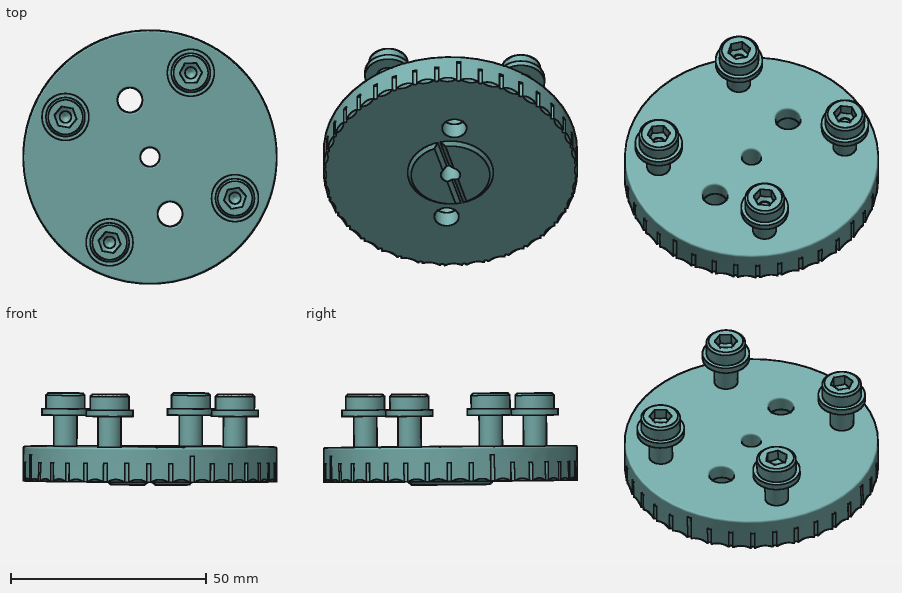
import cadquery as cq
import math

TURN_ANGLE = 19.4
TILT_ANGLE = 0.55

DISC_RADIUS = 32.5
DISC_HEIGHT = 8.85
DISC_EDGE_FILLET = 0.5

GROOVE_COUNT = 36
LONG_GROOVE_STEP = 9
GROOVE_RADIUS = 0.5
GROOVE_TOP = -4.0
LONG_GROOVE_TOP = -2.1

SCALLOP_RADIUS = 5.5
SCALLOP_HEIGHT = 0.7
SCALLOP_SLOPE = 45.0
SCALLOP_LENGTH = 7.8

BOSS_HEIGHT = 0.9
BOSS_BOTTOM_RADIUS = 10.05
SLOT_BOTTOM_WIDTH = 2.9
SLOT_TOP_WIDTH = 0.65

THROUGH_DEPTH = DISC_HEIGHT + BOSS_HEIGHT
CENTER_HOLE_DIAMETER = 4.95
SIDE_HOLE_DIAMETER = 6.4
SIDE_HOLE_LOWER_DIAMETER = 6.3
SIDE_HOLE_STEP_DEPTH = 3.9
SIDE_HOLE_OFFSET = 15.45
HOLE_FILLET = 0.5

SCREW_SPACING = 34.05
SHANK_DIAMETER = 6.0
SHANK_HEIGHT = 7.9
WASHER_DIAMETER = 12.0
WASHER_HEIGHT = 1.6
HEAD_DIAMETER = 10.0
HEAD_HEIGHT = 4.0
HEAD_CHAMFER = 0.6
SOCKET_SIDES = 6
SOCKET_FLATS = 5.0
SOCKET_DEPTH = 2.7
PILOT_DIAMETER = 3.0
PILOT_DEPTH = 1.2
DRILL_HALF_ANGLE = 60.0
SCREWS = [
    (-1, 1, -10.0),
    (1, 1, 2.0),
    (-1, -1, -10.0),
    (1, -1, 11.0),
]


def disc():
    body = cq.Workplane("XY").circle(DISC_RADIUS).extrude(-DISC_HEIGHT)
    return body.faces(">Z").edges().fillet(DISC_EDGE_FILLET)


def rim_grooves():
    grooves = cq.Workplane("XY")
    pitch = 360 / GROOVE_COUNT
    for i in range(GROOVE_COUNT):
        top = GROOVE_TOP if i % LONG_GROOVE_STEP else LONG_GROOVE_TOP
        groove = (
            cq.Workplane("XY", origin=(DISC_RADIUS, 0, -DISC_HEIGHT))
            .circle(GROOVE_RADIUS)
            .extrude(DISC_HEIGHT + top)
            .rotate((0, 0, 0), (0, 0, 1), i * pitch)
        )
        grooves = grooves.add(groove)
    return grooves


def rim_scallops():
    """Round cutters that slope up and out across the lower rim edge."""
    scallops = cq.Workplane("XY")
    pitch = 360 / GROOVE_COUNT
    slope = math.radians(SCALLOP_SLOPE)
    axis = cq.Vector(math.cos(slope), 0, math.sin(slope))
    crest = cq.Vector(DISC_RADIUS, 0, SCALLOP_HEIGHT - DISC_HEIGHT)
    middle = crest + cq.Vector(math.sin(slope), 0, -math.cos(slope)) * SCALLOP_RADIUS
    cutter = cq.Workplane(
        cq.Solid.makeCylinder(
            SCALLOP_RADIUS, SCALLOP_LENGTH, middle - axis * (SCALLOP_LENGTH / 2), axis
        )
    )
    for i in range(GROOVE_COUNT):
        scallops = scallops.add(cutter.rotate((0, 0, 0), (0, 0, 1), (i + 0.5) * pitch))
    return scallops


def split_boss():
    top_radius = BOSS_BOTTOM_RADIUS + BOSS_HEIGHT
    bottom = -THROUGH_DEPTH
    boss = cq.Workplane(
        cq.Solid.makeCone(BOSS_BOTTOM_RADIUS, top_radius, BOSS_HEIGHT, cq.Vector(0, 0, bottom))
    )
    slot = (
        cq.Workplane("XZ")
        .moveTo(-SLOT_BOTTOM_WIDTH / 2, bottom)
        .lineTo(SLOT_BOTTOM_WIDTH / 2, bottom)
        .lineTo(SLOT_TOP_WIDTH / 2, -DISC_HEIGHT)
        .lineTo(-SLOT_TOP_WIDTH / 2, -DISC_HEIGHT)
        .close()
        .extrude(top_radius, both=True)
        .rotate((0, 0, 0), (0, 0, 1), -TURN_ANGLE)
    )
    return boss.cut(slot)


def hole_cutter(diameter, depth):
    """Cutter from Z = 0 downward whose mouth flares in a rounded lip."""
    radius = diameter / 2
    lip_offset = HOLE_FILLET * (1 - math.sqrt(0.5))
    return (
        cq.Workplane("XZ")
        .lineTo(radius + HOLE_FILLET, 0)
        .threePointArc((radius + lip_offset, -lip_offset), (radius, -HOLE_FILLET))
        .lineTo(radius, -depth)
        .lineTo(0, -depth)
        .close()
        .revolve()
    )


def side_hole_cutter():
    lower = cq.Workplane("XY").circle(SIDE_HOLE_LOWER_DIAMETER / 2).extrude(-THROUGH_DEPTH)
    return hole_cutter(SIDE_HOLE_DIAMETER, SIDE_HOLE_STEP_DEPTH).union(lower)


def socket_cutter(corner_angle):
    """Hexagon with its mouth at Z = 0 and a conical floor, then a drilled pilot with a conical end."""
    corner_radius = SOCKET_FLATS / 2 / math.cos(math.pi / SOCKET_SIDES)
    pilot_radius = PILOT_DIAMETER / 2
    drill_slope = 1 / math.tan(math.radians(DRILL_HALF_ANGLE))
    cone_bottom = SOCKET_DEPTH + (corner_radius - pilot_radius) * drill_slope
    pilot_bottom = SOCKET_DEPTH + PILOT_DEPTH
    tip = pilot_bottom + pilot_radius * drill_slope
    drilled = (
        cq.Workplane("XZ")
        .lineTo(corner_radius, 0)
        .lineTo(corner_radius, -SOCKET_DEPTH)
        .lineTo(pilot_radius, -cone_bottom)
        .lineTo(pilot_radius, -pilot_bottom)
        .lineTo(0, -tip)
        .close()
        .revolve()
    )
    hexagon = (
        cq.Workplane("XY")
        .polygon(SOCKET_SIDES, 2 * corner_radius)
        .extrude(-tip)
        .rotate((0, 0, 0), (0, 0, 1), corner_angle)
    )
    return hexagon.intersect(drilled)


def screw(socket_angle):
    """Screw with washer; the shank stands on Z = 0."""
    head_bottom = SHANK_HEIGHT + WASHER_HEIGHT
    head_top = head_bottom + HEAD_HEIGHT
    shank = cq.Workplane("XY").circle(SHANK_DIAMETER / 2).extrude(SHANK_HEIGHT)
    washer = (
        cq.Workplane("XY", origin=(0, 0, SHANK_HEIGHT))
        .circle(WASHER_DIAMETER / 2)
        .extrude(WASHER_HEIGHT)
    )
    head = (
        cq.Workplane("XY", origin=(0, 0, head_bottom))
        .circle(HEAD_DIAMETER / 2)
        .extrude(HEAD_HEIGHT)
        .faces(">Z")
        .chamfer(HEAD_CHAMFER)
    )
    socket = socket_cutter(socket_angle).translate((0, 0, head_top))
    return shank.union(washer).union(head).cut(socket)


body = disc().cut(rim_grooves().combine()).cut(rim_scallops().combine())
body = body.union(split_boss())

body = body.cut(hole_cutter(CENTER_HOLE_DIAMETER, THROUGH_DEPTH))
for side in (-1, 1):
    body = body.cut(side_hole_cutter().translate((0, side * SIDE_HOLE_OFFSET, 0)))

for x_side, y_side, socket_direction in SCREWS:
    place = (x_side * SCREW_SPACING / 2, y_side * SCREW_SPACING / 2, 0)
    body = body.union(screw(socket_direction - TURN_ANGLE).translate(place))

result = body.rotate((0, 0, 0), (1, 0, 0), TILT_ANGLE).rotate((0, 0, 0), (0, 0, 1), TURN_ANGLE)